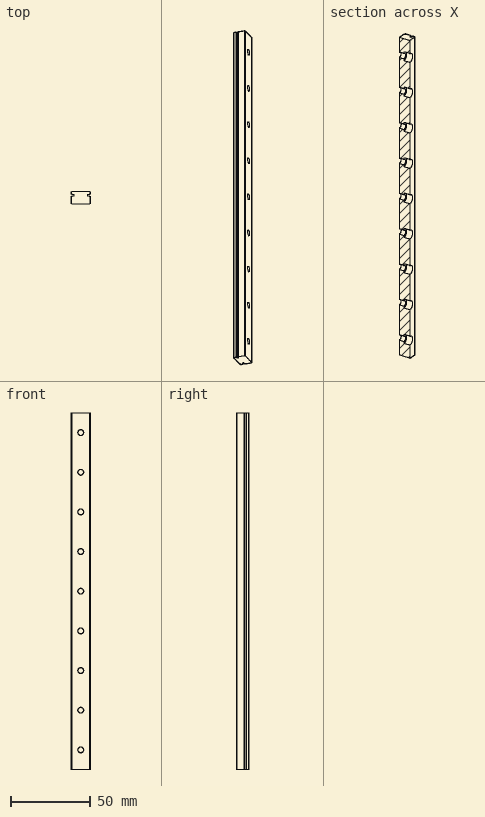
import cadquery as cq

width = 12.0
height = 8.0
length = 225.0
edge_chamfer = 0.5

groove_center_y = 5.5
groove_mouth_width = 1.6
groove_mouth_depth = 0.8
groove_slot_width = 0.8
groove_depth = 1.6

hole_diameter = 3.5
counterbore_diameter = 6.0
counterbore_depth = 4.5
hole_pitch = 25.0
hole_count = 9
first_hole_z = (length - (hole_count - 1) * hole_pitch) / 2


def make_body():
    """Bar along Z with its base on the XZ plane and chamfered long edges."""
    bar = cq.Workplane("XY").box(width, height, length, centered=(True, False, False))
    return bar.edges("|Z").chamfer(edge_chamfer)


def make_groove():
    """Groove cutter for the +X face."""
    face_x = width / 2
    taper_x = face_x - groove_mouth_depth
    floor_x = face_x - groove_depth
    mouth_half = groove_mouth_width / 2
    slot_half = groove_slot_width / 2
    return (
        cq.Workplane("XY")
        .moveTo(face_x, groove_center_y + mouth_half)
        .lineTo(taper_x, groove_center_y + slot_half)
        .lineTo(floor_x, groove_center_y + slot_half)
        .lineTo(floor_x, groove_center_y - slot_half)
        .lineTo(taper_x, groove_center_y - slot_half)
        .lineTo(face_x, groove_center_y - mouth_half)
        .close()
        .extrude(length)
    )


def make_hole(z):
    """Through-hole cutter along Y, counterbored from the +Y face."""
    axis = cq.Vector(0, 1, 0)
    shank = cq.Solid.makeCylinder(hole_diameter / 2, height, cq.Vector(0, 0, z), axis)
    seat = cq.Vector(0, height - counterbore_depth, z)
    head = cq.Solid.makeCylinder(counterbore_diameter / 2, counterbore_depth, seat, axis)
    return cq.Workplane(obj=shank.fuse(head))


groove = make_groove()
rail = make_body().cut(groove).cut(groove.mirror("YZ"))
for index in range(hole_count):
    rail = rail.cut(make_hole(first_hole_z + index * hole_pitch))
result = rail.solids()